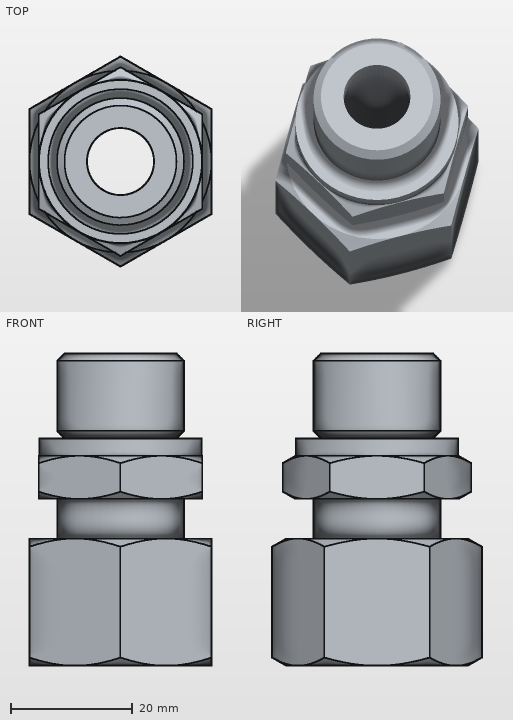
import cadquery as cq
import math

total_height = 51.5
nut_top = 20.95
body_hex_bottom = 27.5
body_hex_top = 34.6
collar_top = 37.5

nut_flats = 30.0
body_hex_flats = 27.0
collar_diameter = 26.9
stud_diameter = 20.95
stud_end_diameter = 18.5
bore_diameter = 11.0

recess_diameter = 23.9
recess_depth = 0.1

hex_chamfer_angle = 30.0
stud_chamfer = (stud_diameter - stud_end_diameter) / 2


def cylinder(diameter, bottom, top):
    return cq.Workplane("XY").workplane(offset=bottom).circle(diameter / 2).extrude(top - bottom)


def chamfered_hexagon(flats, bottom, top):
    """Hexagon with corners on +Y and -Y, chamfered down to a circle touching the flats."""
    inner_radius = flats / 2
    corner_radius = inner_radius / math.cos(math.pi / 6)
    corner_drop = (corner_radius - inner_radius) * math.tan(math.radians(hex_chamfer_angle))
    prism = (
        cq.Workplane("XY")
        .workplane(offset=bottom)
        .transformed(rotate=(0, 0, 90))
        .polygon(6, 2 * corner_radius)
        .extrude(top - bottom)
    )
    turned_envelope = (
        cq.Workplane("XZ")
        .moveTo(0, bottom)
        .lineTo(inner_radius, bottom)
        .lineTo(corner_radius, bottom + corner_drop)
        .lineTo(corner_radius, top - corner_drop)
        .lineTo(inner_radius, top)
        .lineTo(0, top)
        .close()
        .revolve(360, (0, 0, 0), (0, 1, 0))
    )
    return prism.intersect(turned_envelope)


def stud():
    """Plain stud tapering at its free end and into the undercut beside the collar."""
    stud_bottom = collar_top - recess_depth
    stud_radius = stud_diameter / 2
    end_radius = stud_end_diameter / 2
    return (
        cq.Workplane("XZ")
        .moveTo(0, stud_bottom)
        .lineTo(end_radius, stud_bottom)
        .lineTo(end_radius, collar_top)
        .lineTo(stud_radius, collar_top + stud_chamfer)
        .lineTo(stud_radius, total_height - stud_chamfer)
        .lineTo(end_radius, total_height)
        .lineTo(0, total_height)
        .close()
        .revolve(360, (0, 0, 0), (0, 1, 0))
    )


union_nut = chamfered_hexagon(nut_flats, 0, nut_top)
shank = cylinder(stud_diameter, nut_top, body_hex_bottom)
body_hex = chamfered_hexagon(body_hex_flats, body_hex_bottom, body_hex_top)
collar = cylinder(collar_diameter, body_hex_top, collar_top)
face_recess = cylinder(recess_diameter, collar_top - recess_depth, collar_top)
bore = cylinder(bore_diameter, 0, total_height)

result = (
    union_nut.union(shank)
    .union(body_hex)
    .union(collar.cut(face_recess))
    .union(stud())
    .cut(bore)
)